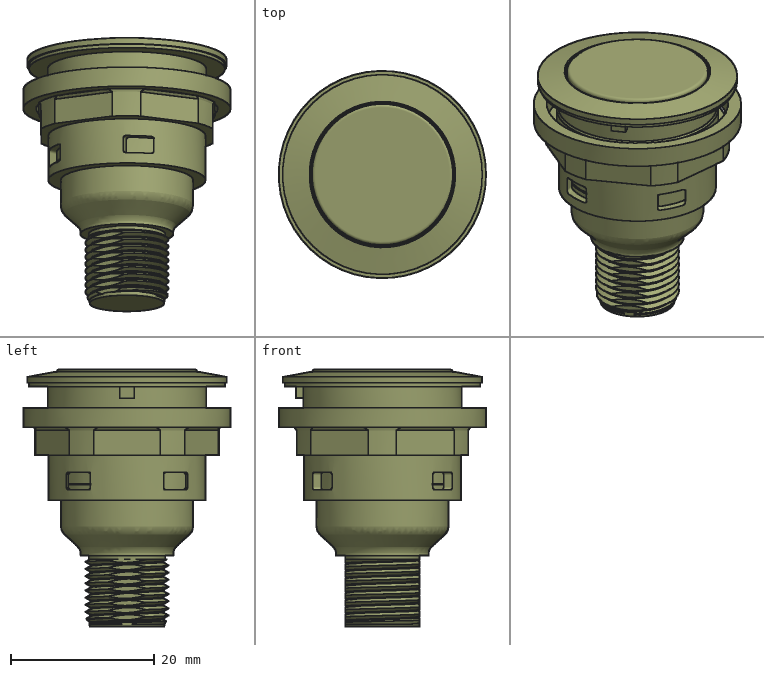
import cadquery as cq
import math

TOTAL_HEIGHT = 35.95
BEZEL_RIM_Z = 35.6
BEZEL_EDGE_TOP_Z = 34.9
BEZEL_EDGE_BOTTOM_Z = 34.05
BEZEL_BOTTOM_Z = 33.55
RING_TOP_Z = 30.58
COLLAR_TOP_Z = 30.1
RING_BOTTOM_Z = 27.85
HEX_FLARE_BOTTOM_Z = 27.43
HEX_BOTTOM_Z = 23.96
BODY_BOTTOM_Z = 17.64
CONE_TOP_Z = 13.35
CONE_BOTTOM_Z = 10.8
SHOULDER_BOTTOM_Z = 9.93

CAP_DIAMETER = 19.7
CAP_FILLET = 0.45
CAP_GAP_DIAMETER = 20.05
CAP_GAP_DEPTH = 0.6
CAP_GAP_CHAMFER = 0.18
BEZEL_DIAMETER = 27.9
BEZEL_LIP_DIAMETER = 27.4
NECK_DIAMETER = 22.2
COLLAR_DIAMETER = 22.6
COLLAR_CHAMFER_HEIGHT = 0.3

TAB_REACH = 12.1
TAB_WIDTH = 2.04
TAB_HEIGHT = 1.6

RING_DIAMETER = 29.0
RING_BORE_DIAMETER = 25.35
HEX_SIDES = 6
HEX_ACROSS_FLATS = 24.0
HEX_CORNER_DIAMETER = 25.75
HEX_FLARE = 0.3
HEX_CORNER_FLARE = 0.1

BODY_DIAMETER = 22.0
LOWER_BODY_DIAMETER = 18.5
SHOULDER_DIAMETER = 13.0
CONE_TOP_FILLET = 1.55
CONE_BOTTOM_FILLET = 1.1

WINDOW_FLOOR_DIAMETER = 19.7
WINDOW_TOP_Z = 21.57
WINDOW_BOTTOM_Z = 19.12
WINDOW_NEAR_OFFSET = 3.33
WINDOW_FAR_OFFSET = 7.12
WINDOW_TILT = 10.0
WINDOW_CORNER_RADIUS = 0.4
WINDOW_OVERRUN = 1.0

SLIT_Z = 19.91
SLIT_HEIGHT = 0.14
SLIT_DEPTH = 0.2

THREAD_RELIEF_DIAMETER = 10.7
THREAD_TIP_DIAMETER = 10.5
THREAD_ROOT_DIAMETER = 10.35
THREAD_CREST_DIAMETER = 11.65
THREAD_PITCH = 1.0
THREAD_ROOT_BOTTOM_Z = 0.6
THREAD_START_Z = -0.19
THREAD_TOP_Z = 9.4
THREAD_TURNS = 10
THREAD_FLANK_ANGLE = 30.0
LEAD_IN_BOTTOM_Z = 0.2
LEAD_IN_TOP_Z = 1.5
LEAD_IN_DIAMETER = 10.3
TIP_CHAMFER_HEIGHT = 0.2
TIP_CHAMFER_WIDTH = 0.05
PLUG_FLAT_WIDTH = 10.4

OVERLAP = 0.1


def cylinder(diameter, bottom_z, top_z):
    return cq.Workplane("XY").workplane(offset=bottom_z).circle(diameter / 2).extrude(top_z - bottom_z)


def revolve_outline(outline):
    """Turns a closed (radius, height) outline around the Z axis."""
    return cq.Workplane("XZ").polyline(outline).close().revolve(360, (0, 0, 0), (0, 1, 0))


def make_cap_and_bezel():
    gap_radius = CAP_GAP_DIAMETER / 2
    gap_floor_z = BEZEL_RIM_Z - CAP_GAP_DEPTH
    outline = [
        (0, BEZEL_BOTTOM_Z),
        (BEZEL_LIP_DIAMETER / 2, BEZEL_BOTTOM_Z),
        (BEZEL_LIP_DIAMETER / 2, BEZEL_EDGE_BOTTOM_Z),
        (BEZEL_DIAMETER / 2, BEZEL_EDGE_BOTTOM_Z),
        (BEZEL_DIAMETER / 2, BEZEL_EDGE_TOP_Z),
        (gap_radius + CAP_GAP_CHAMFER, BEZEL_RIM_Z),
        (gap_radius, BEZEL_RIM_Z - CAP_GAP_CHAMFER),
        (gap_radius, gap_floor_z),
        (0, gap_floor_z),
    ]
    bezel = revolve_outline(outline)
    cap = cylinder(CAP_DIAMETER, BEZEL_BOTTOM_Z, TOTAL_HEIGHT).faces(">Z").edges().fillet(CAP_FILLET)
    return bezel.union(cap)


def make_tab():
    tab = cq.Workplane("XY").box(TAB_REACH, TAB_WIDTH, TAB_HEIGHT, centered=(False, True, False))
    return tab.translate((-TAB_REACH, 0, BEZEL_BOTTOM_Z - TAB_HEIGHT))


def hexagon(across_flats, z):
    half_side_angle = 180 / HEX_SIDES
    corner_diameter = across_flats / math.cos(math.radians(half_side_angle))
    plane = cq.Workplane("XY").workplane(offset=z).transformed(rotate=(0, 0, half_side_angle))
    return plane.polygon(HEX_SIDES, corner_diameter)


def make_ring_nut():
    ring = cylinder(RING_DIAMETER, RING_BOTTOM_Z, RING_TOP_Z).cut(
        cylinder(RING_BORE_DIAMETER, RING_BOTTOM_Z, RING_TOP_Z)
    )
    straight = hexagon(HEX_ACROSS_FLATS, HEX_BOTTOM_Z).extrude(HEX_FLARE_BOTTOM_Z - HEX_BOTTOM_Z)
    straight = straight.intersect(cylinder(HEX_CORNER_DIAMETER, HEX_BOTTOM_Z, HEX_FLARE_BOTTOM_Z))

    flare_height = RING_BOTTOM_Z - HEX_FLARE_BOTTOM_Z
    flare_angle = math.degrees(math.atan2(HEX_FLARE, flare_height))
    flare = hexagon(HEX_ACROSS_FLATS, HEX_FLARE_BOTTOM_Z).extrude(flare_height, taper=-flare_angle)
    flare_rounding = cq.Workplane("XY").workplane(offset=HEX_FLARE_BOTTOM_Z).circle(HEX_CORNER_DIAMETER / 2)
    corner_angle = math.degrees(math.atan2(HEX_CORNER_FLARE, flare_height))
    flare = flare.intersect(flare_rounding.extrude(flare_height, taper=-corner_angle))
    return ring.union(straight).union(flare)


def edge_ring(z):
    """Selector for the edges around the Z axis at height z."""
    reach = RING_DIAMETER
    return cq.selectors.BoxSelector((-reach, -reach, z - OVERLAP), (reach, reach, z + OVERLAP))


def make_lower_body():
    outline = [
        (0, SHOULDER_BOTTOM_Z),
        (SHOULDER_DIAMETER / 2, SHOULDER_BOTTOM_Z),
        (SHOULDER_DIAMETER / 2, CONE_BOTTOM_Z),
        (LOWER_BODY_DIAMETER / 2, CONE_TOP_Z),
        (LOWER_BODY_DIAMETER / 2, BODY_BOTTOM_Z),
        (0, BODY_BOTTOM_Z),
    ]
    lower_body = revolve_outline(outline)
    lower_body = lower_body.edges(edge_ring(CONE_TOP_Z)).fillet(CONE_TOP_FILLET)
    return lower_body.edges(edge_ring(CONE_BOTTOM_Z)).fillet(CONE_BOTTOM_FILLET)


def make_upper_body():
    body = cylinder(BODY_DIAMETER, BODY_BOTTOM_Z, RING_BOTTOM_Z)
    collar = cylinder(COLLAR_DIAMETER, RING_BOTTOM_Z, COLLAR_TOP_Z)
    collar_step = (COLLAR_DIAMETER - NECK_DIAMETER) / 2
    collar = collar.faces(">Z").chamfer(COLLAR_CHAMFER_HEIGHT, collar_step)
    neck = cylinder(NECK_DIAMETER, COLLAR_TOP_Z, BEZEL_BOTTOM_Z)
    return body.union(collar).union(neck)


def make_window_prism(bottom_z, top_z):
    """A block reaching inward through the -X, -Y part of the body wall."""
    reach = BODY_DIAMETER / 2 + WINDOW_OVERRUN
    width = WINDOW_FAR_OFFSET - WINDOW_NEAR_OFFSET
    return (
        cq.Workplane("XY")
        .box(reach, width, top_z - bottom_z, centered=False)
        .translate((-reach, -WINDOW_FAR_OFFSET, bottom_z))
    )


def make_window():
    """Cutter for the -X, -Y window: rounded corners, floor on a cylinder inside the wall."""
    prism = make_window_prism(WINDOW_BOTTOM_Z, WINDOW_TOP_Z).edges("|X").fillet(WINDOW_CORNER_RADIUS)
    prism = prism.rotate((0, 0, 0), (0, 0, 1), WINDOW_TILT)
    return prism.cut(cylinder(WINDOW_FLOOR_DIAMETER, WINDOW_BOTTOM_Z, WINDOW_TOP_Z))


def make_slit():
    """Cutter for the shallow slit in the floor of the -X, -Y window."""
    bottom_z = SLIT_Z - SLIT_HEIGHT / 2
    top_z = SLIT_Z + SLIT_HEIGHT / 2
    prism = make_window_prism(bottom_z, top_z).rotate((0, 0, 0), (0, 0, 1), WINDOW_TILT)
    return prism.cut(cylinder(WINDOW_FLOOR_DIAMETER - 2 * SLIT_DEPTH, bottom_z, top_z))


def cut_windows(part):
    window = make_window()
    slit = make_slit()
    across_x = window.mirror("YZ")
    across_y = window.mirror("XZ")
    part = part.cut(window).cut(across_x).cut(across_y).cut(across_x.mirror("XZ"))
    return part.cut(slit.mirror("YZ")).cut(slit.mirror("XZ"))


def make_thread_envelope():
    """Limits the thread: a conical lead-in at the tip and a flat end at the top."""
    outer_radius = THREAD_CREST_DIAMETER / 2 + OVERLAP
    outline = [
        (0, LEAD_IN_BOTTOM_Z),
        (LEAD_IN_DIAMETER / 2, LEAD_IN_BOTTOM_Z),
        (outer_radius, LEAD_IN_TOP_Z),
        (outer_radius, THREAD_TOP_Z),
        (0, THREAD_TOP_Z),
    ]
    return revolve_outline(outline)


def make_thread_ridge():
    base_radius = THREAD_ROOT_DIAMETER / 2 - OVERLAP
    crest_radius = THREAD_CREST_DIAMETER / 2
    half_base = (crest_radius - base_radius) * math.tan(math.radians(THREAD_FLANK_ANGLE))
    helix = cq.Wire.makeHelix(THREAD_PITCH, THREAD_PITCH * THREAD_TURNS, base_radius)
    ridge = (
        cq.Workplane("XZ")
        .polyline([(base_radius, -half_base), (crest_radius, 0), (base_radius, half_base)])
        .close()
        .sweep(helix, isFrenet=True)
    )
    return ridge.translate((0, 0, THREAD_START_Z)).intersect(make_thread_envelope())


def make_plug():
    tip = cylinder(THREAD_TIP_DIAMETER, 0, THREAD_ROOT_BOTTOM_Z)
    tip = tip.faces("<Z").chamfer(TIP_CHAMFER_HEIGHT, TIP_CHAMFER_WIDTH)
    core = cylinder(THREAD_ROOT_DIAMETER, THREAD_ROOT_BOTTOM_Z, THREAD_TOP_Z)
    relief = cylinder(THREAD_RELIEF_DIAMETER, THREAD_TOP_Z, SHOULDER_BOTTOM_Z)
    plug = core.union(make_thread_ridge()).union(tip).union(relief)
    flats = cq.Workplane("XY").box(
        PLUG_FLAT_WIDTH, RING_DIAMETER, SHOULDER_BOTTOM_Z, centered=(True, True, False)
    )
    return plug.intersect(flats)


housing = make_lower_body().union(make_upper_body()).union(make_ring_nut())
housing = housing.union(make_cap_and_bezel()).union(make_tab())
result = cut_windows(housing).union(make_plug())